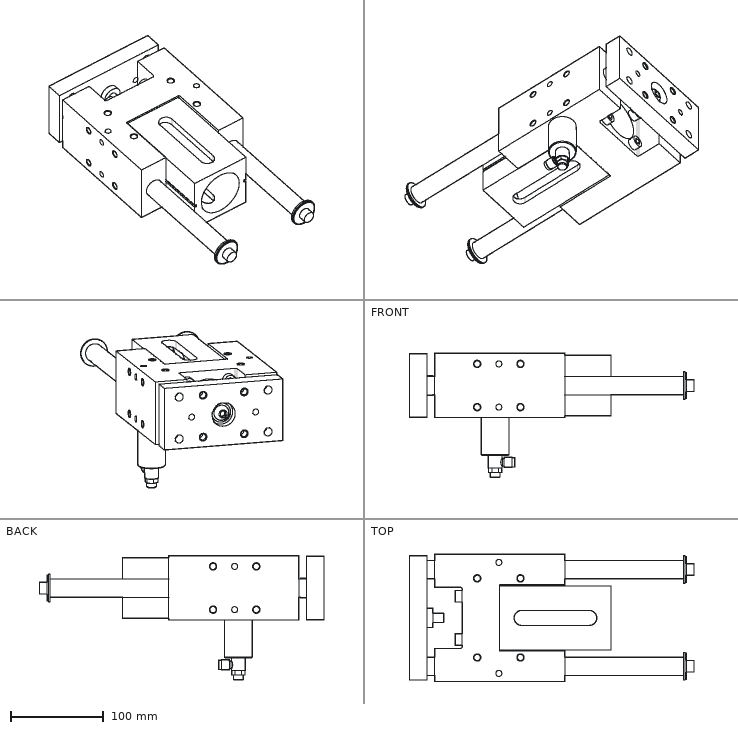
import cadquery as cq


pattern_half_pitch = 23.3
thread_diameter = 6.7
dowel_diameter = 6.5

plate_thickness = 19.0
plate_width = 133.7
plate_height = 68.5
plate_bolt_diameter = 9.0
plate_bolt_y = 50.2
plate_dowel_y = 36.0
plate_thread_depth = 12.2
plate_thread_mouth = 8.5
counterbore_diameter = 26.0
counterbore_depth = 9.2

dome_diameter = 16.5
dome_top_diameter = 9.0
dome_height = 6.0
dome_bulge = 1.0
dome_socket_width = 6.0
dome_socket_depth = 3.7
collar_diameter = 21.0
collar_rise = 0.5
collar_length = 6.0
shank_diameter = 10.0
shank_length = 12.2
shank_chamfer = 1.0

rod_diameter = 20.0
rod_half_pitch = 52.0
rod_end_x = 294.7
stop_diameter = 30.0
stop_thickness = 1.8
nut_diameter = 28.0
nut_thickness = 1.2
stud_diameter = 13.0
overall_length = 306.0

housing_start_x = 27.0
housing_end_x = 167.0
housing_width = 137.0
housing_top_z = 35.0
housing_bottom_z = -34.5
recess_width = 65.5
recess_end_x = 56.5
recess_corner_radius = 1.8
channel_width = 71.0
channel_start_x = 97.0
housing_bore_diameter = 51.0

housing_hole_centre_x = 96.0
housing_thread_depth = 15.0
housing_thread_mouth = 8.0
top_thread_y = 42.5
top_dowel_y = 59.7
dowel_depth = 6.7
drill_tip_length = 2.0

block_width = 69.2
block_top_z = 32.7
block_bottom_z = -block_top_z
block_end_x = 217.0
slot_width = 16.0
slot_start_x = 112.5
slot_end_x = 201.5
side_groove_top_z = 0.3
side_groove_height = 2.5
side_groove_depth = 2.5

screw_head_diameter = 13.0
screw_head_height = 7.5
screw_socket_width = 6.0
screw_socket_depth = 3.7

cylinder_x = 92.0
cylinder_y = rod_half_pitch
cylinder_diameter = 30.0
cylinder_bottom_z = -75.3
cylinder_chamfer = 1.0
fitting_diameter = 15.0
fitting_bottom_z = -88.7
hex_corner_width = 14.5
hex_bottom_z = -93.5
outlet_diameter = 11.0
outlet_bottom_z = -99.0
outlet_chamfer = 1.0
port_z = -82.5
port_diameter = 9.0
port_end_x = 100.0
port_neck_diameter = 8.0
port_cap_start_x = 102.0
port_cap_diameter = 11.0
port_cap_end_x = 110.5
port_tip_diameter = 10.0
port_tip_end_x = 113.2


def x_cylinder(diameter, start_x, end_x, y=0.0, z=0.0):
    """Cylinder along X between two X positions."""
    return cq.Workplane("YZ", origin=(start_x, y, z)).circle(diameter / 2).extrude(end_x - start_x)


def z_cylinder(diameter, top_z, bottom_z):
    """Cylinder on the axis of the clamping cylinder between two Z positions."""
    plane = cq.Workplane("XY", origin=(cylinder_x, cylinder_y, bottom_z))
    return plane.circle(diameter / 2).extrude(top_z - bottom_z)


def x_hexagon(width, start_x, end_x, y=0.0, z=0.0):
    """Hexagonal prism along X, sized by its width across flats."""
    plane = cq.Workplane("YZ", origin=(start_x, y, z))
    return plane.polygon(6, width, circumscribed=True).extrude(end_x - start_x)


def box(start_x, end_x, width, bottom_z, top_z):
    """Box centred on Y = 0."""
    plane = cq.Workplane("XY", origin=((start_x + end_x) / 2, 0, bottom_z))
    return plane.rect(end_x - start_x, width).extrude(top_z - bottom_z)


def thread_cutter(mouth_diameter, depth, tip_length):
    """Tapped hole along +Z from the origin: 45 degree countersink, core, and optional drill tip."""
    core_radius = thread_diameter / 2
    mouth_radius = mouth_diameter / 2
    profile = (
        cq.Workplane("XZ")
        .moveTo(0, 0)
        .lineTo(mouth_radius, 0)
        .lineTo(core_radius, mouth_radius - core_radius)
        .lineTo(core_radius, depth)
        .lineTo(0, depth + tip_length)
        .close()
    )
    return profile.revolve(360, (0, 0, 0), (0, 1, 0))


def four_corners(half_y, half_z):
    return [(y, z) for y in (-half_y, half_y) for z in (-half_z, half_z)]


def make_plate():
    plate = box(0, plate_thickness, plate_width, -plate_height / 2, plate_height / 2)
    for y, z in four_corners(plate_bolt_y, pattern_half_pitch):
        plate = plate.cut(x_cylinder(plate_bolt_diameter, 0, plate_thickness, y, z))
    for y in (-plate_dowel_y, plate_dowel_y):
        plate = plate.cut(x_cylinder(dowel_diameter, 0, plate_thickness, y))
    cutter = thread_cutter(plate_thread_mouth, plate_thread_depth, 0).rotate((0, 0, 0), (0, 1, 0), 90)
    for y, z in four_corners(pattern_half_pitch, pattern_half_pitch):
        plate = plate.cut(cutter.translate((0, y, z)))
    return plate.cut(x_cylinder(counterbore_diameter, 0, counterbore_depth))


def make_centre_screw():
    collar_start_x = counterbore_depth - collar_rise
    dome_front_x = collar_start_x - dome_height
    base_radius = dome_diameter / 2
    top_radius = dome_top_diameter / 2
    middle = (
        (dome_front_x + collar_start_x) / 2 - dome_bulge,
        (base_radius + top_radius) / 2 + dome_bulge,
    )
    dome = (
        cq.Workplane("XY")
        .moveTo(collar_start_x, 0)
        .lineTo(collar_start_x, base_radius)
        .threePointArc(middle, (dome_front_x, top_radius))
        .lineTo(dome_front_x, 0)
        .close()
        .revolve(360, (0, 0, 0), (1, 0, 0))
        .cut(x_hexagon(dome_socket_width, dome_front_x, dome_front_x + dome_socket_depth))
    )
    collar_end_x = plate_thickness + collar_length
    collar = x_cylinder(collar_diameter, collar_start_x, collar_end_x)
    shank = x_cylinder(shank_diameter, collar_end_x, collar_end_x + shank_length)
    shank = shank.faces(">X").chamfer(shank_chamfer)
    return dome.union(collar).union(shank)


def make_rod(y):
    stop_end_x = rod_end_x + stop_thickness
    nut_end_x = stop_end_x + nut_thickness
    return (
        x_cylinder(rod_diameter, plate_thickness, rod_end_x, y)
        .union(x_cylinder(stop_diameter, rod_end_x, stop_end_x, y))
        .union(x_cylinder(nut_diameter, stop_end_x, nut_end_x, y))
        .union(x_cylinder(stud_diameter, nut_end_x, overall_length, y))
    )


def make_carriage():
    """Moving body: front plate, centre screw and both guide rods."""
    carriage = make_plate().union(make_centre_screw())
    for y in (-rod_half_pitch, rod_half_pitch):
        carriage = carriage.union(make_rod(y))
    return carriage


def make_housing_shell():
    shell = box(housing_start_x, housing_end_x, housing_width, housing_bottom_z, housing_top_z)
    recess = box(housing_start_x, recess_end_x, recess_width, housing_bottom_z, housing_top_z)
    recess = recess.edges("|Z and >X").fillet(recess_corner_radius)
    channel = box(channel_start_x, housing_end_x, channel_width, housing_bottom_z, housing_top_z)
    return shell.cut(recess).cut(channel)


def make_block():
    block = box(channel_start_x, block_end_x, block_width, block_bottom_z, block_top_z)
    slot = (
        cq.Workplane("XY", origin=((slot_start_x + slot_end_x) / 2, 0, block_bottom_z))
        .slot2D(slot_end_x - slot_start_x, slot_width)
        .extrude(block_top_z - block_bottom_z)
    )
    groove_bottom_z = side_groove_top_z - side_groove_height
    full_slice = box(channel_start_x, block_end_x, block_width, groove_bottom_z, side_groove_top_z)
    core_width = block_width - 2 * side_groove_depth
    core_slice = box(channel_start_x, block_end_x, core_width, groove_bottom_z, side_groove_top_z)
    return block.cut(slot).cut(full_slice.cut(core_slice))


def cut_mounting_holes(body):
    """Tapped and dowel holes in the top face and in both side faces."""
    thread_xs = (housing_hole_centre_x - pattern_half_pitch, housing_hole_centre_x + pattern_half_pitch)
    thread = thread_cutter(housing_thread_mouth, housing_thread_depth, drill_tip_length)
    dowel = cq.Workplane("XY").circle(dowel_diameter / 2).extrude(dowel_depth)
    for side in (-1, 1):
        top_thread = thread.rotate((0, 0, 0), (1, 0, 0), 180)
        top_dowel = dowel.rotate((0, 0, 0), (1, 0, 0), 180)
        for x in thread_xs:
            body = body.cut(top_thread.translate((x, side * top_thread_y, housing_top_z)))
        body = body.cut(top_dowel.translate((housing_hole_centre_x, side * top_dowel_y, housing_top_z)))

        side_thread = thread.rotate((0, 0, 0), (1, 0, 0), side * 90)
        side_dowel = dowel.rotate((0, 0, 0), (1, 0, 0), side * 90)
        face_y = side * housing_width / 2
        for z in (-pattern_half_pitch, pattern_half_pitch):
            for x in thread_xs:
                body = body.cut(side_thread.translate((x, face_y, z)))
            body = body.cut(side_dowel.translate((housing_hole_centre_x, face_y, z)))
    return body


def make_socket_screw(y, z):
    front_x = recess_end_x - screw_head_height
    head = x_cylinder(screw_head_diameter, front_x, recess_end_x, y, z)
    return head.cut(x_hexagon(screw_socket_width, front_x, front_x + screw_socket_depth, y, z))


def make_clamp_cylinder():
    """Clamping cylinder with its stepped fitting and the sideways port."""
    cylinder = z_cylinder(cylinder_diameter, housing_bottom_z, cylinder_bottom_z)
    cylinder = cylinder.faces("<Z").chamfer(cylinder_chamfer)
    fitting = z_cylinder(fitting_diameter, cylinder_bottom_z, fitting_bottom_z)
    hexagon = (
        cq.Workplane("XY", origin=(cylinder_x, cylinder_y, hex_bottom_z))
        .polygon(6, hex_corner_width)
        .extrude(fitting_bottom_z - hex_bottom_z)
    )
    outlet = z_cylinder(outlet_diameter, hex_bottom_z, outlet_bottom_z)
    outlet = outlet.faces("<Z").chamfer(outlet_chamfer)
    port_steps = (
        (port_diameter, cylinder_x, port_end_x),
        (port_neck_diameter, port_end_x, port_cap_start_x),
        (port_cap_diameter, port_cap_start_x, port_cap_end_x),
        (port_tip_diameter, port_cap_end_x, port_tip_end_x),
    )
    body = cylinder.union(fitting).union(hexagon).union(outlet)
    for diameter, start_x, end_x in port_steps:
        body = body.union(x_cylinder(diameter, start_x, end_x, cylinder_y, port_z))
    return body


def make_housing():
    """Fixed body: housing, slotted block, socket screws and clamping cylinder."""
    housing = make_housing_shell().union(make_block())
    housing = housing.cut(x_cylinder(housing_bore_diameter, recess_end_x, block_end_x))
    for y in (-rod_half_pitch, rod_half_pitch):
        housing = housing.cut(x_cylinder(rod_diameter, housing_start_x, housing_end_x, y))
    housing = cut_mounting_holes(housing)
    for y, z in four_corners(pattern_half_pitch, pattern_half_pitch):
        housing = housing.union(make_socket_screw(y, z))
    return housing.union(make_clamp_cylinder())


carriage = make_carriage()
housing = make_housing()
result = cq.Compound.makeCompound([carriage.val(), housing.val()])